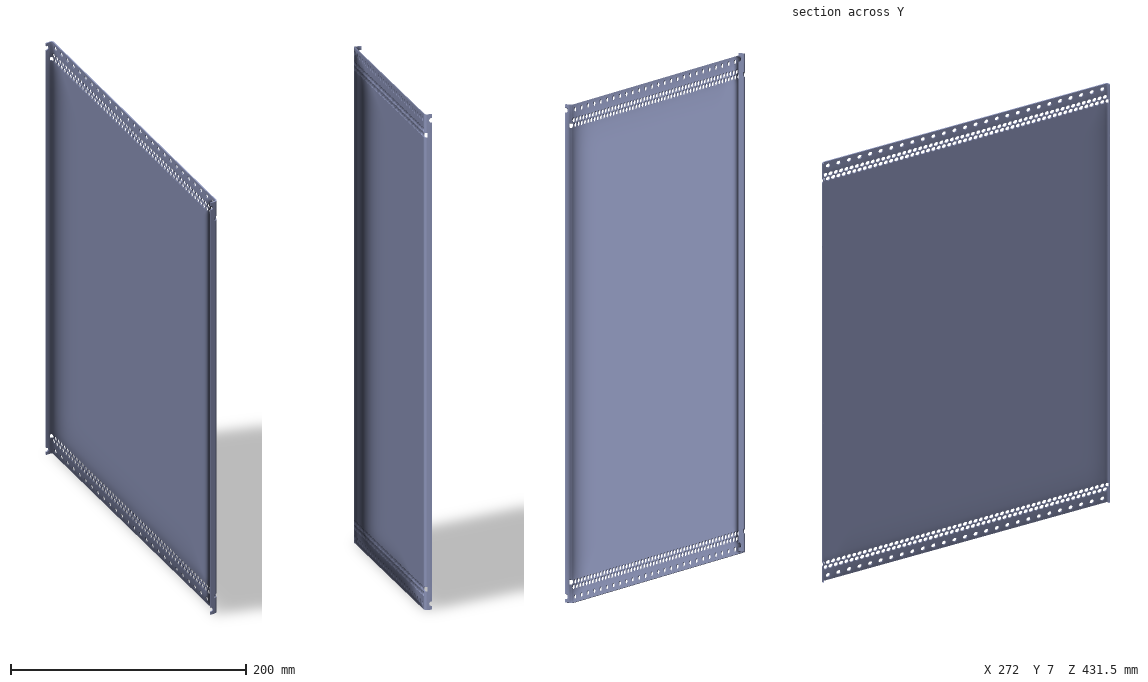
import cadquery as cq

width = 272.0
depth = 7.0
height = 431.5
sheet = 1.0
inner_bend_radius = 1.5
outer_bend_radius = inner_bend_radius + sheet

mount_diameter = 4.0
mount_count = 27
mount_end_distance = 4.7
side_margin_share = 0.6
mount_pitch = width / (mount_count - 1 + 2 * side_margin_share)

perforation_diameter = 4.1
perforation_pitch = mount_pitch / 2
perforation_depth = 3.0
outer_row_count = 2 * mount_count
inner_row_count = outer_row_count + 1
mount_to_band_gap = 4.7
row_gap = 0.4
outer_row_end_distance = mount_end_distance + mount_to_band_gap + (mount_diameter + perforation_diameter) / 2
inner_row_end_distance = outer_row_end_distance + perforation_diameter + row_gap

notch_diameter = 4.5
notch_end_distance = 5.0
notch_inset = 0.5

back_y = depth / 2
front_y = -depth / 2


def rounded_block(block_width, bend_radius):
    """Full-size block with its two upright back edges rounded."""
    return cq.Workplane("XY").box(block_width, depth, height).edges(">Y and |Z").fillet(bend_radius)


def folded_panel():
    """Sheet with both long sides bent toward -Y."""
    outside = rounded_block(width, outer_bend_radius)
    inside = rounded_block(width - 2 * sheet, inner_bend_radius).translate((0, -sheet, 0))
    return outside.cut(inside)


def end_rows(end_distance, count, pitch, diameter, hole_depth):
    """Hole cutters running from the back face toward -Y, in one row at each end of the panel."""
    row_spacing = height - 2 * end_distance
    return (
        cq.Workplane("XZ", origin=(0, back_y, 0))
        .rarray(pitch, row_spacing, count, 2)
        .circle(diameter / 2)
        .extrude(hole_depth)
    )


def mounting_holes():
    return end_rows(mount_end_distance, mount_count, mount_pitch, mount_diameter, depth)


def perforation_row(end_distance, count):
    return end_rows(end_distance, count, perforation_pitch, perforation_diameter, perforation_depth)


def flange_notches():
    """Cutters along X that pass through both flanges near each end."""
    notch_y = front_y + notch_inset
    notch_z = height / 2 - notch_end_distance
    return (
        cq.Workplane("YZ")
        .pushPoints([(notch_y, notch_z), (notch_y, -notch_z)])
        .circle(notch_diameter / 2)
        .extrude(width / 2, both=True)
    )


result = (
    folded_panel()
    .cut(mounting_holes())
    .cut(perforation_row(outer_row_end_distance, outer_row_count))
    .cut(perforation_row(inner_row_end_distance, inner_row_count))
    .cut(flange_notches())
)